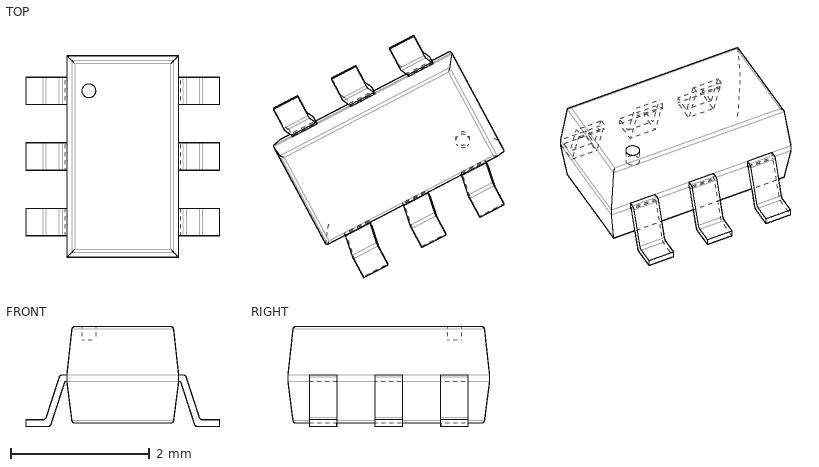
import cadquery as cq
import math

body_width = 1.62
body_length = 2.92
total_height = 1.45
standoff = 0.05
face_inset = 0.077
body_fillet = 0.045

mark_diameter = 0.2
mark_depth = 0.2
mark_x = -0.49

lead_span = 2.8
lead_width = 0.4
lead_thickness = 0.1
lead_pitch = 0.95
lead_rows = (-1, 0, 1)
shoulder_top = 0.75
lead_lean = math.radians(18)
foot_length = 0.28
bend_radius = 0.05

band_bottom = shoulder_top - lead_thickness
mark_y = lead_pitch


def tapered_half(band_z, end_z):
    """Half of the body, narrowing from the band to a flat end face with a rounded rim."""
    height = end_z - band_z
    draft_angle = math.degrees(math.atan2(face_inset, abs(height)))
    return (
        cq.Workplane("XY", origin=(0, 0, band_z))
        .rect(body_width, body_length)
        .extrude(height, taper=draft_angle)
        .faces(cq.selectors.NearestToPointSelector((0, 0, end_z)))
        .edges()
        .fillet(body_fillet)
    )


def make_body():
    """Moulded package: band, two tapered halves, rounded rims and the pin 1 mark."""
    band = (
        cq.Workplane("XY", origin=(0, 0, band_bottom))
        .rect(body_width, body_length)
        .extrude(lead_thickness)
    )
    upper = tapered_half(shoulder_top, total_height)
    lower = tapered_half(band_bottom, standoff)
    mark = (
        cq.Workplane("XY", origin=(mark_x, mark_y, total_height - mark_depth))
        .circle(mark_diameter / 2)
        .extrude(mark_depth)
    )
    return band.union(upper).union(lower).cut(mark)


def make_lead(side, y):
    """Gull-wing lead on the +X (side = 1) or -X (side = -1) face, centred on y."""
    tip_x = lead_span / 2
    body_x = body_width / 2
    leg_run = (shoulder_top - lead_thickness) * math.tan(lead_lean)
    corner_shift = lead_thickness * (1 / math.cos(lead_lean) - math.tan(lead_lean))
    outer_foot_x = tip_x - foot_length
    outer_shoulder_x = outer_foot_x - leg_run
    inner_foot_x = outer_foot_x - corner_shift
    inner_shoulder_x = outer_shoulder_x - corner_shift

    profile = [
        (body_x, shoulder_top),
        (outer_shoulder_x, shoulder_top),
        (outer_foot_x, lead_thickness),
        (tip_x, lead_thickness),
        (tip_x, 0),
        (inner_foot_x, 0),
        (inner_shoulder_x, band_bottom),
        (body_x, band_bottom),
    ]
    strip = (
        cq.Workplane("XZ", origin=(0, y + lead_width / 2, 0))
        .polyline([(side * x, z) for x, z in profile])
        .close()
        .extrude(lead_width)
    )
    rounded_corners = [
        (outer_shoulder_x, shoulder_top),
        (outer_foot_x, lead_thickness),
        (inner_foot_x, 0),
    ]
    for x, z in rounded_corners:
        corner_edge = cq.selectors.NearestToPointSelector((side * x, y, z))
        strip = strip.edges("|Y").edges(corner_edge).fillet(bend_radius)
    return strip


body = make_body()
leads = [make_lead(side, row * lead_pitch) for side in (-1, 1) for row in lead_rows]

result = cq.Compound.makeCompound([body.val(), *[lead.val() for lead in leads]])